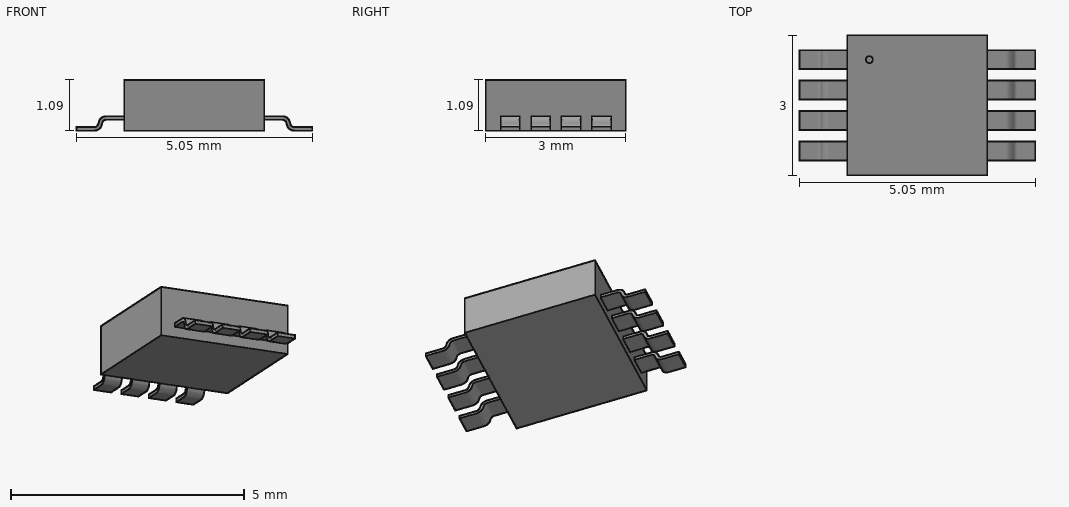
import cadquery as cq
import math

overall_length = 5.05
housing_side = 3.0
housing_height = 1.09

marker_diameter = 0.15
marker_depth = 0.03
marker_edge_distance = 0.475

leads_per_side = 4
lead_pitch = 0.65
lead_width = 0.41
lead_thickness = 0.08
shoulder_top = 0.315
foot_length = 0.39
inner_bend_radius = 0.08
bend_angle = math.radians(74)

housing_half = housing_side / 2
row_half_span = (leads_per_side - 1) * lead_pitch / 2
marker_x = -housing_half + marker_edge_distance
marker_y = row_half_span


def make_marker():
    """Thin disc set into the top face of the housing, level with the first lead."""
    return (
        cq.Workplane("XY", origin=(marker_x, marker_y, housing_height - marker_depth))
        .circle(marker_diameter / 2)
        .extrude(marker_depth)
    )


def make_housing(marker):
    """Rectangular block with a recess that holds the marker disc."""
    block = cq.Workplane("XY").box(
        housing_side, housing_side, housing_height, centered=(True, True, False)
    )
    return block.cut(marker)


def make_lead(y_center):
    """Gull-wing lead on the -X side: flat foot, two opposite bends, flat shoulder."""
    outer_bend_radius = inner_bend_radius + lead_thickness
    rise = shoulder_top - lead_thickness
    bends_rise = (inner_bend_radius + outer_bend_radius) * (1 - math.cos(bend_angle))
    slope_run = (rise - bends_rise) / math.tan(bend_angle)
    bends_run = (inner_bend_radius + outer_bend_radius) * math.sin(bend_angle)

    toe_x = -overall_length / 2
    foot_bend_x = toe_x + foot_length
    shoulder_bend_x = foot_bend_x + bends_run + slope_run
    foot_bend_z = lead_thickness + inner_bend_radius
    shoulder_bend_z = shoulder_top - outer_bend_radius

    def on_foot_bend(radius, angle):
        return (foot_bend_x + radius * math.sin(angle), foot_bend_z - radius * math.cos(angle))

    def on_shoulder_bend(radius, angle):
        return (shoulder_bend_x - radius * math.sin(angle), shoulder_bend_z + radius * math.cos(angle))

    half_angle = bend_angle / 2
    profile = (
        cq.Workplane("XZ", origin=(0, y_center + lead_width / 2, 0))
        .moveTo(toe_x, 0)
        .lineTo(foot_bend_x, 0)
        .threePointArc(
            on_foot_bend(outer_bend_radius, half_angle), on_foot_bend(outer_bend_radius, bend_angle)
        )
        .lineTo(*on_shoulder_bend(inner_bend_radius, bend_angle))
        .threePointArc(
            on_shoulder_bend(inner_bend_radius, half_angle), on_shoulder_bend(inner_bend_radius, 0)
        )
        .lineTo(-housing_half, shoulder_top - lead_thickness)
        .lineTo(-housing_half, shoulder_top)
        .lineTo(shoulder_bend_x, shoulder_top)
        .threePointArc(
            on_shoulder_bend(outer_bend_radius, half_angle), on_shoulder_bend(outer_bend_radius, bend_angle)
        )
        .lineTo(*on_foot_bend(inner_bend_radius, bend_angle))
        .threePointArc(on_foot_bend(inner_bend_radius, half_angle), on_foot_bend(inner_bend_radius, 0))
        .lineTo(toe_x, lead_thickness)
        .close()
    )
    return profile.extrude(lead_width)


marker = make_marker()
housing = make_housing(marker)

leads = []
for row in range(leads_per_side):
    left_lead = make_lead(row * lead_pitch - row_half_span)
    leads.append(left_lead.val())
    leads.append(left_lead.mirror("YZ").val())

result = cq.Compound.makeCompound([housing.val(), marker.val(), *leads])